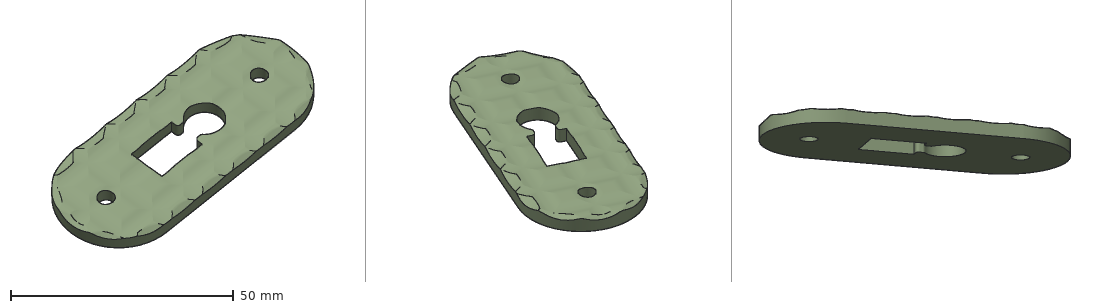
import cadquery as cq
import math

length = 72.0
width = 30.0
thickness = 3.5
end_radius = width / 2
straight = length - width

pitch = width / 3
relief_shift_y = -0.3
groove_radius = 10.0
groove_depth = 0.3
cushion_round = 8.0
border_round = 1.4
column_lines = 3
row_lines = 7
clearance = 0.7

scallop_count = 18
scallop_ball = 21.6
scallop_reach = 2.1
scallop_drop = 0.7
scallop_phase = 0.7
scallop_shift_x = 0.5

key_radius = 4.75
key_center_y = 7.1
throat_half_width = 2.7
slot_top = 1.3
slot_bottom = -11.8
lip_round = 0.8
select_margin = 0.1
screw_diameter = 4.1
screw_spacing = 50.0


def rounded_flank(radius, depth, rounding):
    """Points where a round hollow of the given depth runs out into the top face over a rounded lip.

    Each point is (distance from the hollow's middle, height above the top face): the end of the hollow
    arc, the middle of the lip arc and the end of the lip arc.
    """
    radii = radius + rounding
    lip_angle = math.acos((radii - depth) / radii)
    half_width = radii * math.sin(lip_angle)

    def on_lip(angle):
        return half_width - rounding * math.sin(angle), rounding * (math.cos(angle) - 1)

    return on_lip(lip_angle), on_lip(lip_angle / 2), on_lip(0)


def groove(left_round, right_round, start, stop):
    """Groove cutter running along +Y from start to stop, centred on x = 0."""
    left_flank = rounded_flank(groove_radius, groove_depth, left_round)
    left_tangent, left_middle, left_end = [(-x, z) for x, z in left_flank]
    right_tangent, right_middle, right_end = rounded_flank(groove_radius, groove_depth, right_round)
    section = (
        cq.Workplane("XZ", origin=(0, start, thickness))
        .moveTo(left_end[0], clearance)
        .lineTo(*left_end)
        .threePointArc(left_middle, left_tangent)
        .threePointArc((0, -groove_depth), right_tangent)
        .threePointArc(right_middle, right_end)
        .lineTo(right_end[0], clearance)
        .close()
    )
    return section.extrude(start - stop)


def cut_relief(plate):
    """Cut the groove grid; only the cushions between the outermost grooves get the wide rounding."""
    block_x = pitch * (column_lines - 1) / 2
    block_y = pitch * (row_lines - 1) / 2
    block_low = relief_shift_y - block_y
    block_high = relief_shift_y + block_y

    for column in range(column_lines):
        x = column * pitch - block_x
        left = border_round if column == 0 else cushion_round
        right = border_round if column == column_lines - 1 else cushion_round
        runs = (
            groove(border_round, border_round, -length, block_low),
            groove(left, right, block_low, block_high),
            groove(border_round, border_round, block_high, length),
        )
        for run in runs:
            plate = plate.cut(run.translate((x, 0, 0)))

    for row in range(row_lines):
        y = row * pitch + block_low
        runs = (
            groove(border_round, border_round, -width, -block_x),
            groove(cushion_round, cushion_round, -block_x, block_x),
            groove(border_round, border_round, block_x, width),
        )
        for run in runs:
            plate = plate.cut(run.rotate((0, 0, 0), (0, 0, 1), -90).translate((0, y, 0)))
    return plate


def edge_point(distance):
    """Point and outward direction on the plate edge, clockwise from the middle of the -X side."""
    arc = math.pi * end_radius
    distance = (distance + straight / 2) % (2 * (straight + arc))
    side = 1 if distance < straight + arc else -1
    distance %= straight + arc
    if distance < straight:
        x, y, out = -end_radius, distance - straight / 2, (-1, 0)
    else:
        angle = math.pi - (distance - straight) / end_radius
        out = (math.cos(angle), math.sin(angle))
        x, y = end_radius * out[0], straight / 2 + end_radius * out[1]
    return (side * x, side * y), (side * out[0], side * out[1])


def scallop(depth):
    """Ball-shaped cutter with a rounded rim, on a vertical axis, reaching depth below the top face."""
    tangent, middle, end = rounded_flank(scallop_ball, depth, border_round)
    half_angle = math.asin(tangent[0] / scallop_ball) / 2
    ball_middle = (
        scallop_ball * math.sin(half_angle),
        scallop_ball * (1 - math.cos(half_angle)) - depth,
    )
    return (
        cq.Workplane("XZ", origin=(0, 0, thickness))
        .moveTo(0, clearance)
        .lineTo(0, -depth)
        .threePointArc(ball_middle, tangent)
        .threePointArc(middle, end)
        .lineTo(end[0], clearance)
        .close()
        .revolve(360, (0, 0, 0), (0, 1, 0))
    )


def cut_scallops(plate):
    chord = math.hypot(scallop_reach, scallop_drop)
    rise = math.sqrt(scallop_ball**2 - chord**2 / 4)
    outset = rise * scallop_drop / chord - scallop_reach / 2
    height = rise * scallop_reach / chord - scallop_drop / 2
    cutter = scallop(scallop_ball - height)
    spacing = 2 * (straight + math.pi * end_radius) / scallop_count
    for index in range(scallop_count):
        (x, y), (out_x, out_y) = edge_point(scallop_phase + (index + 0.5) * spacing)
        center_x = x + outset * out_x + scallop_shift_x
        center_y = y + outset * out_y
        plate = plate.cut(cutter.translate((center_x, center_y, 0)))
    return plate


def keyhole():
    slot_height = slot_top - slot_bottom
    throat_height = key_center_y - slot_top
    bow = cq.Workplane("XY").center(0, key_center_y).circle(key_radius).extrude(thickness)
    throat = (
        cq.Workplane("XY")
        .center(0, slot_top + throat_height / 2)
        .rect(2 * throat_half_width, throat_height)
        .extrude(thickness)
    )
    slot = (
        cq.Workplane("XY")
        .center(0, slot_bottom + slot_height / 2)
        .rect(2 * key_radius, slot_height)
        .extrude(thickness)
    )
    lips = cq.selectors.BoxSelector(
        (-throat_half_width - select_margin, slot_top - select_margin, 0),
        (throat_half_width + select_margin, key_center_y, thickness),
    )
    return bow.union(throat).union(slot).edges("|Z").edges(lips).fillet(lip_round)


plate = cq.Workplane("XY").slot2D(length, width, 90).extrude(thickness)
plate = cut_relief(plate)
plate = cut_scallops(plate)
plate = plate.cut(keyhole())
screw_points = [(0, -screw_spacing / 2), (0, screw_spacing / 2)]
screws = cq.Workplane("XY").pushPoints(screw_points).circle(screw_diameter / 2).extrude(thickness)
result = plate.cut(screws)